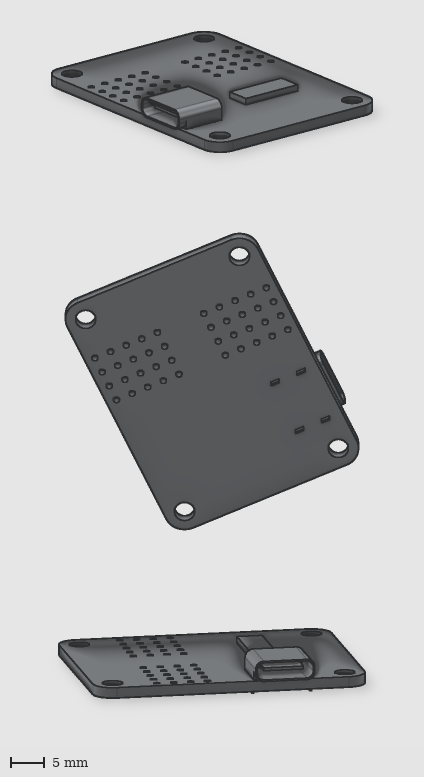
import cadquery as cq

board_length = 41.0
board_width = 31.0
board_thickness = 1.6
corner_radius = 3.0
mount_hole_diameter = 3.0
mount_hole_inset = corner_radius

pin_hole_diameter = 0.9
pin_pitch = 2.55
pin_columns = 4
pin_rows = 5
first_column_inset = 9.4
grid_center_x = -board_length / 2 + first_column_inset + pin_pitch * (pin_columns - 1) / 2
grid_center_y = 8.85

chip_length = 3.8
chip_width = 9.8
chip_height = 1.0
chip_center_x = 7.42
chip_center_y = 3.85

socket_width = 8.95
socket_depth = 8.05
socket_height = 3.08
socket_center_x = 7.85
socket_overhang = 0.55
socket_radius = 1.25
wall = 0.25
lip_length = 1.3
socket_front_y = -board_width / 2 - socket_overhang
socket_back_y = socket_front_y + socket_depth

tongue_width = 6.0
tongue_thickness = 0.45
tongue_setback = lip_length

leg_thickness = wall
leg_width = 1.3
leg_spacing = 4.22
leg_protrusion = 0.75
leg_length = board_thickness + leg_protrusion


def make_legs():
    """Four flat legs, flush with the sides of the socket."""
    back_leg_y = socket_back_y - leg_width / 2
    side_offset = (socket_width - leg_thickness) / 2
    centers = [
        (socket_center_x + side * side_offset, leg_y)
        for side in (-1, 1)
        for leg_y in (back_leg_y, back_leg_y - leg_spacing)
    ]
    return (
        cq.Workplane("XY", origin=(0, 0, -leg_protrusion))
        .pushPoints(centers)
        .rect(leg_thickness, leg_width)
        .extrude(leg_length)
    )


def make_board():
    """Rounded board with mounting holes, pin holes, leg slots and chip."""
    board = (
        cq.Workplane("XY")
        .rect(board_length, board_width)
        .extrude(board_thickness)
        .edges("|Z")
        .fillet(corner_radius)
    )
    mount_holes = (
        cq.Workplane("XY")
        .rect(board_length - 2 * mount_hole_inset, board_width - 2 * mount_hole_inset, forConstruction=True)
        .vertices()
        .circle(mount_hole_diameter / 2)
        .extrude(board_thickness)
    )
    board = board.cut(mount_holes)
    for side in (-1, 1):
        pin_holes = (
            cq.Workplane("XY", origin=(grid_center_x, side * grid_center_y, 0))
            .rarray(pin_pitch, pin_pitch, pin_columns, pin_rows)
            .circle(pin_hole_diameter / 2)
            .extrude(board_thickness)
        )
        board = board.cut(pin_holes)
    chip = (
        cq.Workplane("XY", origin=(chip_center_x, chip_center_y, board_thickness))
        .rect(chip_length, chip_width)
        .extrude(chip_height)
    )
    return board.cut(make_legs()).union(chip)


def socket_block(width, depth, height, front_y, base_z):
    """Plain block centred on the socket, running back from front_y."""
    return cq.Workplane("XY").box(width, depth, height, centered=(True, False, False)).translate(
        (socket_center_x, front_y, base_z)
    )


def make_socket():
    """Hollow socket with a rounded front lip, a tongue and four legs."""
    lip = socket_block(socket_width, lip_length, socket_height, socket_front_y, board_thickness)
    lip = lip.edges("|Y").fillet(socket_radius)

    rear_depth = socket_depth - lip_length
    rear_front_y = socket_front_y + lip_length
    rear = socket_block(socket_width, rear_depth, socket_height, rear_front_y, board_thickness)
    rear = rear.edges("|Y and >Z").fillet(socket_radius)

    cavity_depth = socket_depth - wall
    cavity = socket_block(
        socket_width - 2 * wall, cavity_depth, socket_height - 2 * wall, socket_front_y, board_thickness + wall
    )
    cavity = cavity.edges("|Y").fillet(socket_radius - wall)

    tongue = socket_block(
        tongue_width,
        socket_depth - tongue_setback,
        tongue_thickness,
        socket_front_y + tongue_setback,
        board_thickness + (socket_height - tongue_thickness) / 2,
    )
    return lip.union(rear).cut(cavity).union(tongue).union(make_legs())


board = make_board()
socket = make_socket()

result = cq.Compound.makeCompound([board.solids().val(), socket.solids().val()])